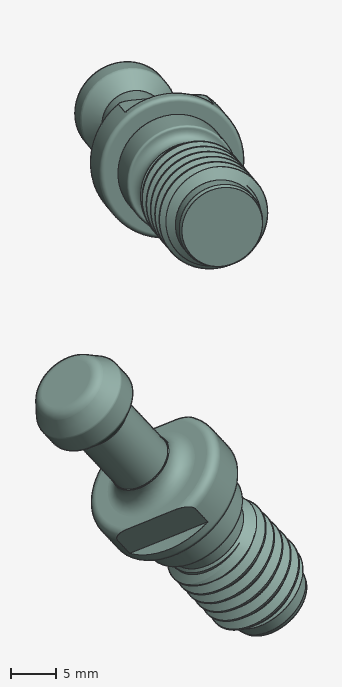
import cadquery as cq
import math

TOTAL_LENGTH = 43.0

HEAD_RADIUS = 5.5
NOSE_FACE_RADIUS = 3.2
NOSE_ROUND = 1.38
NOSE_CONE_ANGLE = math.radians(30)
HEAD_BACK_END = 7.0
HEAD_EDGE_ROUND = 0.45

SHANK_RADIUS = 3.6
FLARE_START = 15.45
FLARE_STEP = 0.1
FLARE_ROUND = 1.95

COLLAR_RADIUS = 8.25
COLLAR_FRONT = 17.9
COLLAR_BACK = 22.95
COLLAR_FRONT_ROUND = 1.08
COLLAR_BACK_ROUND = 0.5
FLAT_HALF_WIDTH = 6.55
FLAT_END = 21.5

PILOT_RADIUS = 6.28
PILOT_END = 26.95
PILOT_EDGE_ROUND = 0.25
NECK_RADIUS = 4.77
NECK_ROUND = 1.05

THREAD_RADIUS = 6.05
THREAD_ROOT_RADIUS = 5.07
THREAD_START = 29.45
THREAD_END = 40.95
FIRST_CREST = 31.55
CREST_SPAN = 8.75
CREST_SPAN_TURNS = 5
CREST_WIDTH = 0.2
THREAD_HALF_ANGLE = math.radians(30)
THREAD_END_CONE_ANGLE = math.radians(60)
TIP_CHAMFER_LENGTH = 0.5
TIP_CHAMFER_DEPTH = 0.17

CUT_CLEARANCE = 0.1


def quarter_mid(center_x, center_r, radius, side_x, side_r):
    """Middle point of a quarter arc lying on the given sides of its centre."""
    offset = radius * math.sqrt(0.5)
    return (center_x + side_x * offset, center_r + side_r * offset)


def make_head():
    nose_sweep = math.pi / 2 - NOSE_CONE_ANGLE

    def nose_point(angle):
        return (
            NOSE_ROUND * (1 - math.cos(angle)),
            NOSE_FACE_RADIUS + NOSE_ROUND * math.sin(angle),
        )

    arc_mid = nose_point(nose_sweep / 2)
    arc_end = nose_point(nose_sweep)
    land_start = arc_end[0] + (HEAD_RADIUS - arc_end[1]) / math.tan(NOSE_CONE_ANGLE)
    land_end = HEAD_BACK_END - (HEAD_RADIUS - SHANK_RADIUS)
    head = (
        cq.Workplane("XY")
        .lineTo(0, NOSE_FACE_RADIUS)
        .threePointArc(arc_mid, arc_end)
        .lineTo(land_start, HEAD_RADIUS)
        .lineTo(land_end, HEAD_RADIUS)
        .lineTo(HEAD_BACK_END, SHANK_RADIUS)
        .lineTo(HEAD_BACK_END, 0)
        .close()
        .revolve(360, (0, 0, 0), (1, 0, 0))
    )
    land_edges = cq.selectors.BoxSelector(
        (land_start - CUT_CLEARANCE, -COLLAR_RADIUS, -COLLAR_RADIUS),
        (land_end + CUT_CLEARANCE, COLLAR_RADIUS, COLLAR_RADIUS),
        boundingbox=True,
    )
    return head.edges(land_edges).edges("%CIRCLE").fillet(HEAD_EDGE_ROUND)


def make_shank():
    flare_radius = SHANK_RADIUS + FLARE_STEP
    arc_x = COLLAR_FRONT - FLARE_ROUND
    arc_r = flare_radius + FLARE_ROUND
    return (
        cq.Workplane("XY")
        .moveTo(HEAD_BACK_END, 0)
        .lineTo(HEAD_BACK_END, SHANK_RADIUS)
        .lineTo(FLARE_START, SHANK_RADIUS)
        .lineTo(FLARE_START + FLARE_STEP, flare_radius)
        .lineTo(arc_x, flare_radius)
        .threePointArc(quarter_mid(arc_x, arc_r, FLARE_ROUND, 1, -1), (COLLAR_FRONT, arc_r))
        .lineTo(COLLAR_FRONT, 0)
        .close()
        .revolve(360, (0, 0, 0), (1, 0, 0))
    )


def make_collar():
    collar = (
        cq.Workplane("YZ", origin=(COLLAR_FRONT, 0, 0))
        .circle(COLLAR_RADIUS)
        .extrude(COLLAR_BACK - COLLAR_FRONT)
        .faces("<X").edges().fillet(COLLAR_FRONT_ROUND)
        .faces(">X").edges().fillet(COLLAR_BACK_ROUND)
    )
    for side in (1, -1):
        waste = cq.Workplane("XY").box(
            FLAT_END - COLLAR_FRONT,
            2 * COLLAR_RADIUS,
            COLLAR_RADIUS,
            centered=(False, True, True),
        )
        waste_z = side * (FLAT_HALF_WIDTH + COLLAR_RADIUS / 2)
        collar = collar.cut(waste.translate((COLLAR_FRONT, 0, waste_z)))
    return collar


def make_threaded_end_core():
    arc_x = PILOT_END + NECK_ROUND
    arc_r = NECK_RADIUS + NECK_ROUND
    round_x = PILOT_END - PILOT_EDGE_ROUND
    round_r = PILOT_RADIUS - PILOT_EDGE_ROUND
    return (
        cq.Workplane("XY")
        .moveTo(COLLAR_BACK, 0)
        .lineTo(COLLAR_BACK, PILOT_RADIUS)
        .lineTo(round_x, PILOT_RADIUS)
        .threePointArc(quarter_mid(round_x, round_r, PILOT_EDGE_ROUND, 1, 1), (PILOT_END, round_r))
        .lineTo(PILOT_END, arc_r)
        .threePointArc(quarter_mid(arc_x, arc_r, NECK_ROUND, -1, -1), (arc_x, NECK_RADIUS))
        .lineTo(TOTAL_LENGTH - TIP_CHAMFER_LENGTH, NECK_RADIUS)
        .lineTo(TOTAL_LENGTH, NECK_RADIUS - TIP_CHAMFER_DEPTH)
        .lineTo(TOTAL_LENGTH, 0)
        .close()
        .revolve(360, (0, 0, 0), (1, 0, 0))
    )


def make_thread_envelope():
    """Barrel that trims the thread with a cone at each end: 45 degrees at the neck, steeper at the tip."""
    thread_height = THREAD_RADIUS - NECK_RADIUS + CUT_CLEARANCE
    outer_radius = NECK_RADIUS + thread_height
    return (
        cq.Workplane("XY")
        .moveTo(THREAD_START, 0)
        .lineTo(THREAD_START, NECK_RADIUS)
        .lineTo(THREAD_START + thread_height, outer_radius)
        .lineTo(THREAD_END - thread_height / math.tan(THREAD_END_CONE_ANGLE), outer_radius)
        .lineTo(THREAD_END, NECK_RADIUS)
        .lineTo(THREAD_END, 0)
        .close()
        .revolve(360, (0, 0, 0), (1, 0, 0))
    )


def make_thread_groove():
    """Right-handed helical groove that overruns the thread at both ends."""
    pitch = CREST_SPAN / CREST_SPAN_TURNS
    turns_before_first_crest = 2
    groove_turns = 8
    depth = THREAD_RADIUS - THREAD_ROOT_RADIUS
    flank_slope = math.tan(THREAD_HALF_ANGLE)
    half_root = (pitch - CREST_WIDTH) / 2 - depth * flank_slope
    half_mouth = half_root + (depth + CUT_CLEARANCE) * flank_slope
    mouth_radius = THREAD_RADIUS + CUT_CLEARANCE
    helix = cq.Workplane(obj=cq.Wire.makeHelix(pitch, groove_turns * pitch, THREAD_ROOT_RADIUS))
    groove = (
        cq.Workplane("XZ")
        .polyline([
            (THREAD_ROOT_RADIUS, -half_root),
            (mouth_radius, -half_mouth),
            (mouth_radius, half_mouth),
            (THREAD_ROOT_RADIUS, half_root),
        ])
        .close()
        .sweep(helix, isFrenet=True)
    )
    start_x = FIRST_CREST - turns_before_first_crest * pitch
    return groove.rotate((0, 0, 0), (0, 1, 0), 90).translate((start_x, 0, 0))


def make_thread():
    bar = (
        cq.Workplane("YZ", origin=(PILOT_END, 0, 0))
        .circle(THREAD_RADIUS)
        .extrude(TOTAL_LENGTH - PILOT_END)
    )
    return bar.cut(make_thread_groove()).intersect(make_thread_envelope())


result = (
    make_head()
    .union(make_shank())
    .union(make_collar())
    .union(make_threaded_end_core())
    .union(make_thread())
)